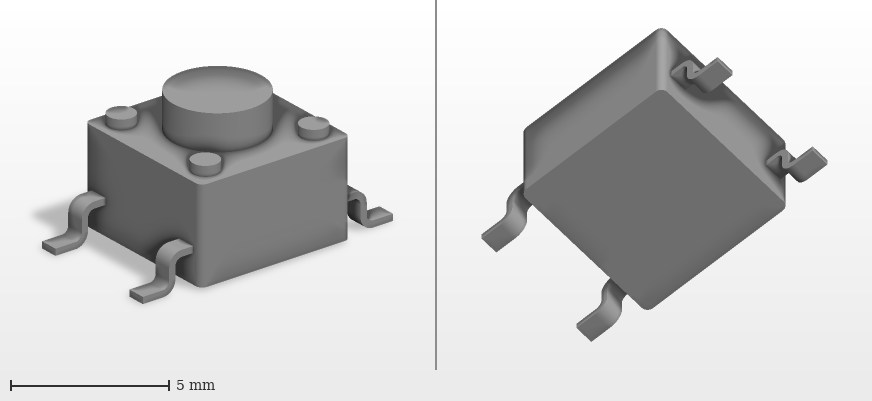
import cadquery as cq

body_side = 6.0
body_height = 3.6
standoff = 0.1
corner_radius = 0.25
body_top = standoff + body_height

overall_height = 5.07
button_diameter = 3.5
button_height = overall_height - body_top
post_diameter = 1.0
post_height = 0.38
post_spacing = 4.33

lead_span = 10.0
lead_width = 0.7
lead_thickness = 0.25
lead_spacing = 4.5
lead_top = 1.45
leg_inner = 3.7
leg_outer = leg_inner + lead_thickness
inner_bend = 0.25
outer_bend = inner_bend + lead_thickness
embed_depth = 0.2


def make_housing():
    block = cq.Workplane("XY").workplane(offset=standoff).rect(body_side, body_side).extrude(body_height)
    return block.edges("|Z").fillet(corner_radius)


def make_button():
    return cq.Workplane("XY").workplane(offset=body_top).circle(button_diameter / 2).extrude(button_height)


def make_posts():
    return (
        cq.Workplane("XY")
        .workplane(offset=body_top)
        .rect(post_spacing, post_spacing, forConstruction=True)
        .vertices()
        .circle(post_diameter / 2)
        .extrude(post_height)
    )


def make_lead():
    """One +Y lead centred on X = 0: a flat foot, an upright leg and a root sunk into the housing."""
    root = body_side / 2 - embed_depth
    tip = lead_span / 2
    blank = (
        cq.Workplane("YZ")
        .moveTo(root, lead_top)
        .lineTo(leg_outer, lead_top)
        .lineTo(leg_outer, lead_thickness)
        .lineTo(tip, lead_thickness)
        .lineTo(tip, 0)
        .lineTo(leg_inner, 0)
        .lineTo(leg_inner, lead_top - lead_thickness)
        .lineTo(root, lead_top - lead_thickness)
        .close()
        .extrude(lead_width / 2, both=True)
    )

    def bend_edge(y, z):
        return cq.selectors.NearestToPointSelector((0, y, z))

    lead = blank.edges(bend_edge(leg_outer, lead_top)).fillet(outer_bend)
    lead = lead.edges(bend_edge(leg_inner, lead_top - lead_thickness)).fillet(inner_bend)
    lead = lead.edges(bend_edge(leg_inner, 0)).fillet(outer_bend)
    return lead.edges(bend_edge(leg_outer, lead_thickness)).fillet(inner_bend)


result = make_housing().union(make_button()).union(make_posts())
back_lead = make_lead()
front_lead = back_lead.mirror("XZ")
for side in (-1, 1):
    offset = (side * lead_spacing / 2, 0, 0)
    result = result.union(back_lead.translate(offset)).union(front_lead.translate(offset))